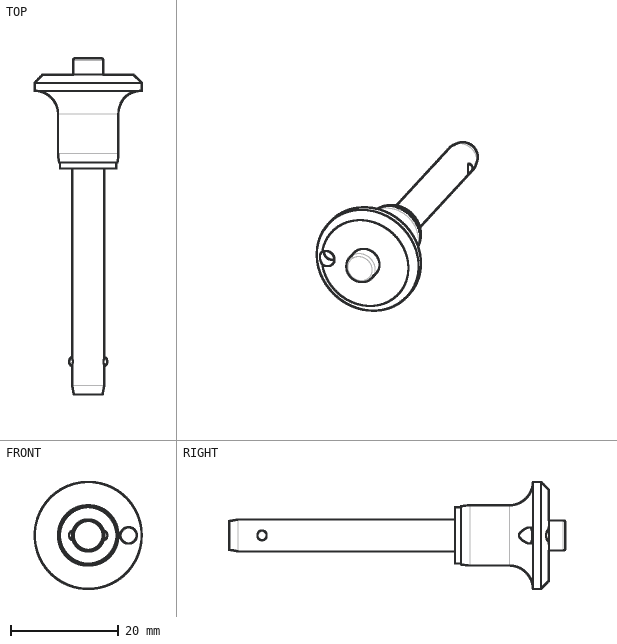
import cadquery as cq
import math

total_length = 62.7

button_radius = 2.8
button_height = 3.1
button_edge_radius = 0.45

flange_diameter = 20.0
flange_radius = flange_diameter / 2
flange_chamfer = 1.5
flange_rim_height = 1.5

grip_radius = 5.65
grip_length = 7.35
flare_radius = flange_radius - grip_radius

grip_end_length = 1.7
grip_end_radius = 5.45
collar_radius = 5.25
collar_length = 1.1

shank_radius = 3.0
tip_radius = 2.7
tip_length = 1.7

ball_radius = 0.95
ball_offset = 2.65
ball_distance_from_tip = 6.15

lanyard_hole_radius = 1.5
lanyard_hole_offset = 7.5

flange_top = total_length - button_height
rim_top = flange_top - flange_chamfer
rim_bottom = rim_top - flange_rim_height
flare_bottom = rim_bottom - flare_radius
grip_bottom = flare_bottom - grip_length
collar_top = grip_bottom - grip_end_length
collar_bottom = collar_top - collar_length


def make_pin_body():
    """Revolve the half profile of button, handle and shank about the Y axis."""
    flare_inset = flare_radius * (1 - math.sqrt(0.5))
    button_edge_inset = button_edge_radius * (1 - math.sqrt(0.5))

    grip_end_inset = grip_radius - grip_end_radius
    grip_end_arc_radius = (grip_end_length**2 + grip_end_inset**2) / (2 * grip_end_inset)
    half_angle = math.asin(grip_end_length / grip_end_arc_radius) / 2
    grip_end_middle = (
        grip_radius - grip_end_arc_radius * (1 - math.cos(half_angle)),
        grip_bottom - grip_end_arc_radius * math.sin(half_angle),
    )

    return (
        cq.Workplane("XY")
        .lineTo(tip_radius, 0)
        .lineTo(shank_radius, tip_length)
        .lineTo(shank_radius, collar_bottom)
        .lineTo(collar_radius, collar_bottom)
        .lineTo(collar_radius, collar_top)
        .lineTo(grip_end_radius, collar_top)
        .threePointArc(grip_end_middle, (grip_radius, grip_bottom))
        .lineTo(grip_radius, flare_bottom)
        .threePointArc(
            (grip_radius + flare_inset, rim_bottom - flare_inset),
            (flange_radius, rim_bottom),
        )
        .lineTo(flange_radius, rim_top)
        .lineTo(flange_radius - flange_chamfer, flange_top)
        .lineTo(button_radius, flange_top)
        .lineTo(button_radius, total_length - button_edge_radius)
        .threePointArc(
            (button_radius - button_edge_inset, total_length - button_edge_inset),
            (button_radius - button_edge_radius, total_length),
        )
        .lineTo(0, total_length)
        .close()
        .revolve(360, (0, 0, 0), (0, 1, 0))
    )


def make_locking_ball(side):
    """Make one ball on the side of the shank; side is -1 or 1 along X."""
    return cq.Workplane("XY").sphere(ball_radius).translate((side * ball_offset, ball_distance_from_tip, 0))


def make_lanyard_hole():
    """Make the cutter for the hole, long enough to pass through flange and flare."""
    return (
        cq.Workplane("XZ", origin=(lanyard_hole_offset, flange_top, 0))
        .circle(lanyard_hole_radius)
        .extrude(flange_top - collar_bottom)
    )


result = make_pin_body()
for ball_side in (-1, 1):
    result = result.union(make_locking_ball(ball_side))
result = result.cut(make_lanyard_hole())